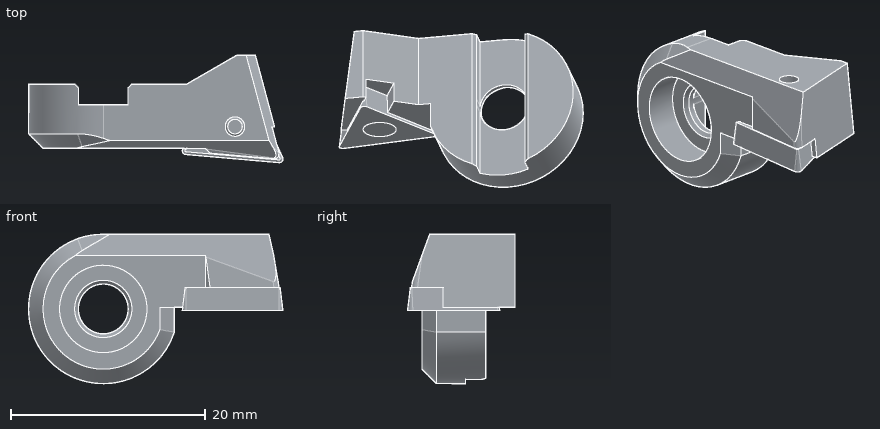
import cadquery as cq
import math


ring_radius = 7.7
body_depth = 6.6
edge_chamfer = 1.5
chamfer_end_angle = 110.0
counterbore_radius = 4.5
counterbore_depth = 3.4
bore_radius = 2.55
bore_chamfer = 0.4
heel_x = 7.32

slot_width = 5.05
slot_depth = 2.1
slot_chamfer = 0.4

arm_top = ring_radius
arm_bottom = 0.15
back_depth = 9.6
flare_start_x = 8.55
flare_angle = 30.0
bevel_bottom = 5.5
bevel_angle = 20.0
end_top_x = 14.7
end_angle = 15.0
head_start_x = 10.5
head_reach = 3.0
head_setback = 0.08
nose_radius = 0.5

relief_angle = 7.0
insert_side = 11.0
insert_corner_radius = 0.4
insert_thickness = 2.38
insert_bottom = -0.18
insert_top = insert_bottom + insert_thickness
insert_lead_angle = 5.0
insert_max_x = 18.5
insert_min_y = -1.48

nose_pocket_y = 2.2
runout_width = 3.0
runout_wall_level = 0.97
apex_clearance = 0.75
apex_clearance_start_y = 6.2

screw_radius = 1.0
screw_offset_y = 0.14
screw_tip_chamfer = 0.25
screw_tip_z = 5.5
screw_head_radius = 1.7

clear = 30.0
overrun = 1.0


def unit(angle):
    """Unit vector in the XY plane at an angle from +X."""
    return cq.Vector(math.cos(math.radians(angle)), math.sin(math.radians(angle)), 0)


front_edge_direction = 180 - insert_lead_angle
right_edge_direction = front_edge_direction - 60
front_normal = front_edge_direction + 90
right_normal = right_edge_direction - 90
corner_center = cq.Vector(insert_max_x - insert_corner_radius, insert_min_y + insert_corner_radius, 0)
corner_spacing = insert_side - 2 * math.sqrt(3) * insert_corner_radius
insert_center = corner_center + unit(front_edge_direction - 30) * (corner_spacing / math.sqrt(3))
screw_x = insert_center.x
screw_y = insert_center.y + screw_offset_y
relief_slope = math.tan(math.radians(relief_angle))


def block(x_range, y_range, z_range):
    """Box given by its limits along X, Y and Z."""
    sizes = [limits[1] - limits[0] for limits in (x_range, y_range, z_range)]
    corner = (x_range[0], y_range[0], z_range[0])
    return cq.Workplane("XY").box(*sizes, centered=False).translate(corner)


def half_space(point, outward_angle, tilt):
    """Large block outside a plane whose normal is tilted upward from the XY plane."""
    tilt_radians = math.radians(tilt)
    normal = unit(outward_angle) * math.cos(tilt_radians) + cq.Vector(0, 0, math.sin(tilt_radians))
    plane = cq.Plane(origin=point, xDir=unit(outward_angle + 90), normal=normal)
    return cq.Workplane(plane).rect(2 * clear, 2 * clear).extrude(clear)


def make_insert_blank():
    """Rounded triangle that narrows upward by the relief angle."""
    inner_radius = corner_spacing / math.sqrt(3)
    corner_angles = [front_edge_direction + 150 + 120 * i for i in range(3)]
    centers = [insert_center + unit(angle) * inner_radius for angle in corner_angles]
    outline = cq.Workplane("XY", origin=(0, 0, insert_bottom))
    for i, (center, angle) in enumerate(zip(centers, corner_angles)):
        start, middle, end = [center + unit(angle + turn) * insert_corner_radius for turn in (-60, 0, 60)]
        if i == 0:
            outline = outline.moveTo(start.x, start.y)
        else:
            outline = outline.lineTo(start.x, start.y)
        outline = outline.threePointArc((middle.x, middle.y), (end.x, end.y))
    return outline.close().extrude(insert_thickness, taper=relief_angle)


def make_screw():
    """Countersunk screw, head flush with the lower face of the insert."""
    head_height = screw_head_radius - screw_radius
    profile = [
        (0, insert_bottom),
        (screw_head_radius, insert_bottom),
        (screw_radius, insert_bottom + head_height),
        (screw_radius, screw_tip_z - screw_tip_chamfer),
        (screw_radius - screw_tip_chamfer, screw_tip_z),
        (0, screw_tip_z),
    ]
    screw = cq.Workplane("XZ").polyline(profile).close().revolve(360, (0, 0), (0, 1))
    return screw.translate((screw_x, screw_y, 0))


def make_ring_and_arm():
    """Ring with its heel flat, plus the arm that flares toward the back."""
    ring = cq.Workplane("XZ").circle(ring_radius).extrude(-body_depth)
    ring = ring.cut(block((heel_x, clear), (0, body_depth), (-clear, arm_bottom)))
    flare_run = (back_depth - body_depth) / math.tan(math.radians(flare_angle))
    arm_outline = [
        (0, 0),
        (clear, 0),
        (clear, back_depth),
        (flare_start_x + flare_run, back_depth),
        (flare_start_x, body_depth),
        (0, body_depth),
    ]
    arm = cq.Workplane("XY", origin=(0, 0, arm_bottom)).polyline(arm_outline).close()
    return ring.union(arm.extrude(arm_top - arm_bottom))


def chamfer_front_edge(body):
    """45 degree chamfer around the ring, straight where it runs out above and along the heel."""
    inner_radius = ring_radius - edge_chamfer
    outer_radius = ring_radius + overrun
    section = [(inner_radius, 0), (outer_radius, edge_chamfer + overrun), (outer_radius, 0)]
    cone = cq.Workplane("XY").polyline(section).close().revolve(360 - chamfer_end_angle, (0, 0), (0, 1))
    straight = cq.Workplane("XY").polyline(section).close().extrude(-ring_radius)
    straight = straight.rotate((0, 0, 0), (0, 1, 0), -chamfer_end_angle)
    heel_section = [(heel_x - edge_chamfer, 0), (heel_x, edge_chamfer), (heel_x, 0)]
    heel = cq.Workplane("XY", origin=(0, 0, arm_bottom)).polyline(heel_section).close()
    return body.cut(cone).cut(straight).cut(heel.extrude(-ring_radius))


def add_head(body):
    """Cutting head standing forward of the arm, with leaning front and end faces and a round nose."""
    outline = [
        (head_start_x, 0),
        (head_start_x + head_reach, -head_reach),
        (clear, -head_reach),
        (clear, body_depth),
        (head_start_x, body_depth),
    ]
    head = cq.Workplane("XY", origin=(0, 0, insert_top)).polyline(outline).close()
    head = head.extrude(arm_top - insert_top)
    inset = insert_thickness * relief_slope + head_setback
    front_point = corner_center + unit(front_normal) * (insert_corner_radius - inset)
    front_point = cq.Vector(front_point.x, front_point.y, insert_top)
    head = head.cut(half_space(front_point, front_normal, relief_angle))
    body = body.union(head)

    bevel_slope = math.tan(math.radians(bevel_angle))
    bevel_levels = (insert_top - overrun, arm_top + overrun)
    bevel_edge = [((level - bevel_bottom) * bevel_slope, level) for level in bevel_levels]
    bevel_section = bevel_edge + [(-clear, bevel_levels[1]), (-clear, bevel_levels[0])]
    bevel = cq.Workplane("YZ", origin=(-ring_radius, 0, 0)).polyline(bevel_section).close()
    body = body.cut(bevel.extrude(2 * clear))
    body = body.cut(half_space(cq.Vector(end_top_x, back_depth, arm_top), end_angle, relief_angle))
    nose_min = (head_start_x, insert_min_y, insert_top)
    nose_max = (insert_max_x, 0, bevel_bottom)
    nose_edges = cq.selectors.BoxSelector(nose_min, nose_max)
    return body.edges(nose_edges).edges("not #Z").edges(">X").fillet(nose_radius)


def cut_bore(body):
    """Stepped bore on the ring axis with a chamfer at the step."""
    profile = [
        (0, 0),
        (counterbore_radius, 0),
        (counterbore_radius, counterbore_depth),
        (bore_radius + bore_chamfer, counterbore_depth),
        (bore_radius, counterbore_depth + bore_chamfer),
        (bore_radius, body_depth),
        (0, body_depth),
    ]
    return body.cut(cq.Workplane("XY").polyline(profile).close().revolve(360, (0, 0), (0, 1)))


def cut_key_slot(body):
    """Slot along Z across the back face, chamfered at its mouth."""
    half_width = slot_width / 2
    floor_y = body_depth - slot_depth
    right_side = [
        (half_width, floor_y),
        (half_width, body_depth - slot_chamfer),
        (half_width + slot_chamfer, body_depth),
    ]
    left_side = [(-x, y) for x, y in reversed(right_side)]
    section = cq.Workplane("XY").polyline(right_side + left_side).close()
    return body.cut(section.extrude(clear, both=True))


def cut_insert_pocket(body, insert_blank):
    """Seat for the insert, open around the cutting corner and running out through the flared back."""
    levels = (insert_bottom - overrun, insert_top)
    body = body.cut(insert_blank)
    body = body.cut(block((insert_center.x, clear), (-clear, nose_pocket_y), levels))

    wall_inset = (runout_wall_level - insert_bottom) * relief_slope
    wall_offset = insert_corner_radius - wall_inset
    edge_middle = corner_center + unit(right_edge_direction) * (corner_spacing / 2)
    wall_start = edge_middle + unit(right_normal) * wall_offset
    runout = block((0, clear), (0, runout_width), levels)
    runout = runout.rotate((0, 0, 0), (0, 0, 1), right_edge_direction).translate(wall_start)
    body = body.cut(runout)

    shifted_blank = insert_blank.translate(unit(right_edge_direction) * apex_clearance)
    apex_zone = block((0, clear), (apex_clearance_start_y, clear), levels)
    return body.cut(shifted_blank.intersect(apex_zone))


def make_holder(insert_blank):
    holder = make_ring_and_arm()
    holder = chamfer_front_edge(holder)
    holder = add_head(holder)
    holder = cut_bore(holder)
    holder = cut_key_slot(holder)
    holder = cut_insert_pocket(holder, insert_blank)
    screw_hole = cq.Workplane("XY").center(screw_x, screw_y).circle(screw_radius)
    return holder.cut(screw_hole.extrude(arm_top))


insert_blank = make_insert_blank()
screw = make_screw()
insert = insert_blank.cut(screw)
holder = make_holder(insert_blank)

result = cq.Compound.makeCompound([holder.solids().val(), insert.solids().val(), screw.val()])